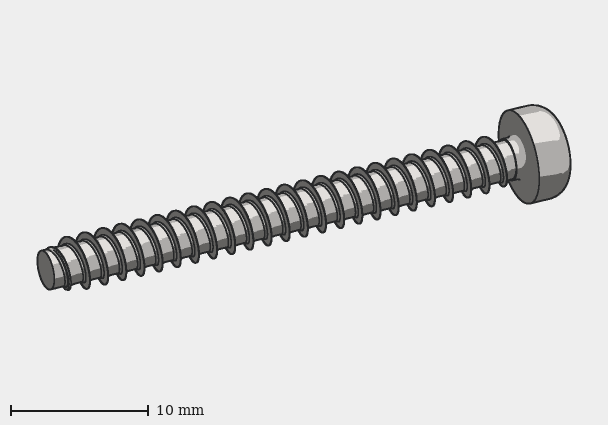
import cadquery as cq

total_length = 41.1
head_diameter = 7.0
head_height = 3.1
dome_radius = 1.5

neck_diameter = 3.12
neck_length = 0.9
neck_fillet = 0.55
core_diameter = 2.9
tip_dish_depth = 0.12
shank_length = total_length - head_height

thread_diameter = 4.05
ten_pitch_length = 14.6
pitch = ten_pitch_length / 10
turns = 25.5
tip_overrun = 0.35
crest_width = 0.05
foot_height = 0.1
foot_top_width = 0.2
tip_side_foot = 0.3
head_side_foot = 0.58
root_overlap = 0.05
tip_runout_start = 0.05
tip_runout_length = 2.18
tip_runout_sink = 0.12
head_runout_start = 0.8
head_runout_length = 1.35
head_runout_sink = 0.1

head_radius = head_diameter / 2
neck_radius = neck_diameter / 2
core_radius = core_diameter / 2
thread_radius = thread_diameter / 2
helix_start = -shank_length - tip_overrun


def make_head():
    """Round pan head with a rounded top rim."""
    head = cq.Workplane("XY").circle(head_radius).extrude(head_height)
    return head.faces(">Z").edges().fillet(dome_radius)


def make_shank():
    """Dished core cylinder and thicker neck, flared into the head by a concave fillet."""
    flare_radius = neck_radius + neck_fillet
    fillet_bend = neck_fillet * (1 - 0.5**0.5)
    dish_radius = (core_radius**2 + tip_dish_depth**2) / (2 * tip_dish_depth)
    half_way = core_radius / 2
    half_way_depth = tip_dish_depth - dish_radius + (dish_radius**2 - half_way**2) ** 0.5
    return (
        cq.Workplane("XZ")
        .moveTo(0, -shank_length + tip_dish_depth)
        .threePointArc((half_way, -shank_length + half_way_depth), (core_radius, -shank_length))
        .lineTo(core_radius, -neck_length)
        .lineTo(neck_radius, -neck_length)
        .lineTo(neck_radius, -neck_fillet)
        .threePointArc((neck_radius + fillet_bend, -fillet_bend), (flare_radius, 0))
        .lineTo(0, 0)
        .close()
        .revolve(360, (0, 0, 0), (0, 1, 0))
    )


def make_ridge():
    """Right-hand helical ridge: a slim tooth on a low foot that reaches further to the head side."""
    path = cq.Wire.makeHelix(pitch, turns * pitch, core_radius, cq.Vector(0, 0, helix_start))
    foot_radius = core_radius + foot_height
    buried_radius = core_radius - root_overlap

    def buried_reach(reach):
        """Foot reach carried along the same slope down to the buried radius."""
        return reach + (reach - foot_top_width / 2) * root_overlap / foot_height

    return (
        cq.Workplane("XZ", origin=(0, 0, helix_start))
        .polyline(
            [
                (buried_radius, -buried_reach(tip_side_foot)),
                (foot_radius, -foot_top_width / 2),
                (thread_radius, -crest_width / 2),
                (thread_radius, crest_width / 2),
                (foot_radius, foot_top_width / 2),
                (buried_radius, buried_reach(head_side_foot)),
            ]
        )
        .close()
        .sweep(cq.Workplane(path), isFrenet=True)
    )


def make_runout_envelope():
    """Double-coned bar that limits the ridge height at the tip and near the head."""
    clear_radius = thread_radius + root_overlap
    head_runout_radius = core_radius - head_runout_sink
    tip_runout_radius = core_radius - tip_runout_sink
    tip_end = -shank_length + tip_runout_start
    head_end = -head_runout_start
    return (
        cq.Workplane("XZ")
        .polyline(
            [
                (0, tip_end),
                (tip_runout_radius, tip_end),
                (clear_radius, tip_end + tip_runout_length),
                (clear_radius, head_end - head_runout_length),
                (head_runout_radius, head_end),
                (0, head_end),
            ]
        )
        .close()
        .revolve(360, (0, 0, 0), (0, 1, 0))
    )


thread = make_ridge().intersect(make_runout_envelope())
screw = make_head().union(make_shank()).union(thread)

result = screw.rotate((0, 0, 0), (1, 0, 0), -90).solids()